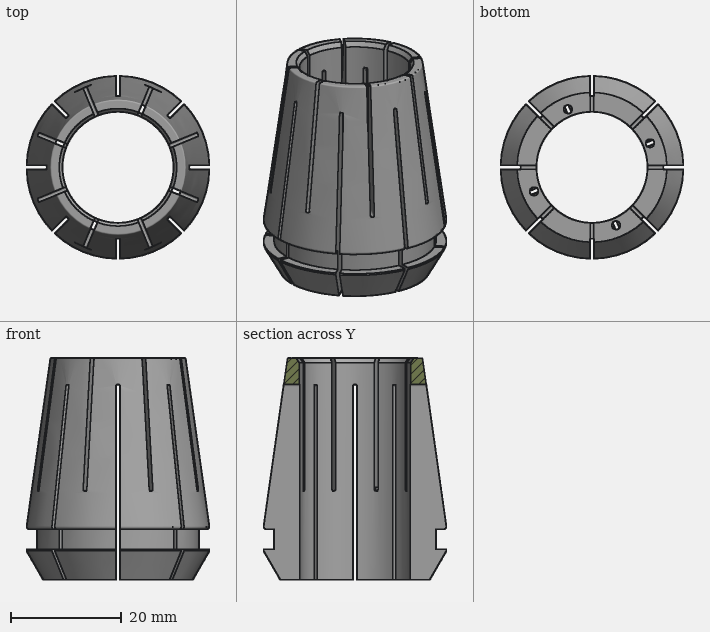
import cadquery as cq
import math

height = 40.0
max_radius = 33.0 / 2
top_radius = 12.2
bore_radius = 20.0 / 2
bore_chamfer_width = 0.6
bore_chamfer_height = 0.9
top_rounding = 0.3

neck_radius = 14.65
groove_bottom = 5.5
groove_top = 9.1
nose_land = 0.3
nose_angle = 30.0
rim_rounding = 0.5

slits_per_set = 8
slit_width = 0.7
bottom_slit_end = 35.2
top_slit_end = 16.0
slit_pitch = 360.0 / slits_per_set

relief_count = 4
relief_diameter = 1.5
relief_circle_radius = 11.3
relief_depth = top_slit_end + slit_width


def collet_body():
    """Revolve the wall section: nose cone, groove and long clamping cone."""
    nose_top = groove_bottom - nose_land
    nose_radius = max_radius - nose_top * math.tan(math.radians(nose_angle))
    cone_start = groove_top + rim_rounding
    section = (
        cq.Workplane("XZ")
        .moveTo(bore_radius, 0)
        .lineTo(nose_radius, 0)
        .lineTo(max_radius, nose_top)
        .lineTo(max_radius, groove_bottom)
        .lineTo(neck_radius, groove_bottom)
        .lineTo(neck_radius, groove_top)
        .lineTo(max_radius - rim_rounding, groove_top)
        .radiusArc((max_radius, cone_start), -rim_rounding)
        .lineTo(top_radius, height)
        .lineTo(bore_radius + bore_chamfer_width, height)
        .lineTo(bore_radius, height - bore_chamfer_height)
        .close()
    )
    body = section.revolve(360, (0, 0, 0), (0, 1, 0))
    top_edge = cq.selectors.RadiusNthSelector(-1)
    return body.faces(">Z").edges(top_edge).fillet(top_rounding)


def slit(round_end, open_end, angle):
    """Radial slit with one full-round end, running past the part at its open end."""
    half_width = slit_width / 2
    reach = 2 * max_radius
    toward_open = math.copysign(half_width, open_end - round_end)
    profile = (
        cq.Workplane("YZ")
        .moveTo(-half_width, open_end)
        .lineTo(-half_width, round_end + toward_open)
        .threePointArc((0, round_end), (half_width, round_end + toward_open))
        .lineTo(half_width, open_end)
        .close()
    )
    return profile.extrude(reach).rotate((0, 0, 0), (0, 0, 1), angle)


def relief_holes():
    """Blind holes from the bottom face that break into the ends of the top slits."""
    first_angle = 1.5 * slit_pitch
    return (
        cq.Workplane("XY")
        .polarArray(relief_circle_radius, first_angle, 360, relief_count)
        .circle(relief_diameter / 2)
        .extrude(relief_depth)
    )


result = collet_body().cut(relief_holes())
for index in range(slits_per_set):
    bottom_angle = index * slit_pitch
    top_angle = bottom_angle + slit_pitch / 2
    result = result.cut(slit(bottom_slit_end, -height, bottom_angle))
    result = result.cut(slit(top_slit_end, 2 * height, top_angle))